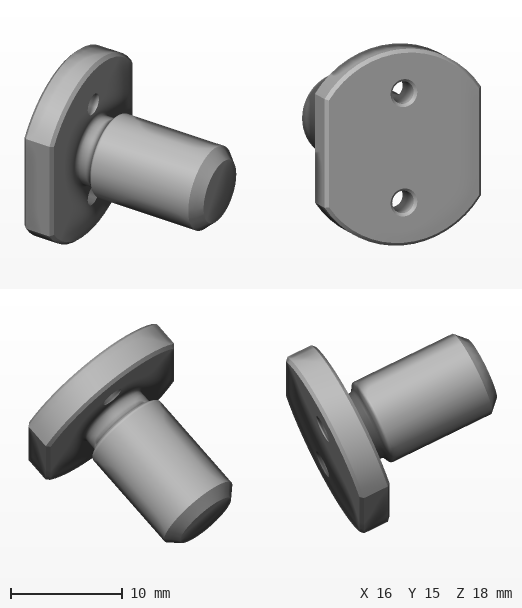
import cadquery as cq
import math

flange_diameter = 18.0
flange_thickness = 3.0
flange_width = 15.0
flange_chamfer = 0.3

total_length = 16.0
shaft_radius = 4.0
end_chamfer = 1.0
neck_radius = 3.25
neck_fillet = 0.3
neck_end = 4.52
shoulder_angle = 60.0
shoulder_fillet = 0.3

hole_diameter = 2.05
countersink_diameter = 2.55
hole_spacing = 10.0


def make_flange():
    disc = cq.Workplane("YZ").circle(flange_diameter / 2).extrude(flange_thickness)
    slab = cq.Workplane("YZ").rect(flange_width, flange_diameter).extrude(flange_thickness)
    return disc.intersect(slab).faces("<X or >X").chamfer(flange_chamfer)


def make_shaft():
    shoulder_length = (shaft_radius - neck_radius) / math.tan(math.radians(shoulder_angle))
    shoulder_end = neck_end + shoulder_length
    profile = (
        cq.Workplane("XY")
        .moveTo(flange_thickness, 0)
        .lineTo(flange_thickness, neck_radius)
        .lineTo(neck_end, neck_radius)
        .lineTo(shoulder_end, shaft_radius)
        .lineTo(total_length - end_chamfer, shaft_radius)
        .lineTo(total_length, shaft_radius - end_chamfer)
        .lineTo(total_length, 0)
        .close()
    )
    shaft = profile.revolve(360, (0, 0, 0), (1, 0, 0))

    margin = shoulder_fillet / 2
    shoulder_zone = cq.selectors.BoxSelector(
        (neck_end - margin, -shaft_radius, -shaft_radius),
        (shoulder_end + margin, shaft_radius, shaft_radius),
        boundingbox=False,
    )
    return shaft.edges("%CIRCLE").edges(shoulder_zone).fillet(shoulder_fillet)


def make_neck_fillet():
    """Concave ring joining the neck to the flange."""
    arc_offset = neck_fillet * (1 - math.sqrt(0.5))
    return (
        cq.Workplane("XY")
        .moveTo(flange_thickness, 0)
        .lineTo(flange_thickness, neck_radius + neck_fillet)
        .threePointArc(
            (flange_thickness + arc_offset, neck_radius + arc_offset),
            (flange_thickness + neck_fillet, neck_radius),
        )
        .lineTo(flange_thickness + neck_fillet, 0)
        .close()
        .revolve(360, (0, 0, 0), (1, 0, 0))
    )


def make_hole(z):
    """Cutter for one through hole, countersunk at 45 degrees on the outer face."""
    countersink_depth = (countersink_diameter - hole_diameter) / 2
    return (
        cq.Workplane("XY")
        .lineTo(0, countersink_diameter / 2)
        .lineTo(countersink_depth, hole_diameter / 2)
        .lineTo(flange_thickness, hole_diameter / 2)
        .lineTo(flange_thickness, 0)
        .close()
        .revolve(360, (0, 0, 0), (1, 0, 0))
        .translate((0, 0, z))
    )


result = make_flange().union(make_shaft()).union(make_neck_fillet())
for side in (-1, 1):
    result = result.cut(make_hole(side * hole_spacing / 2))